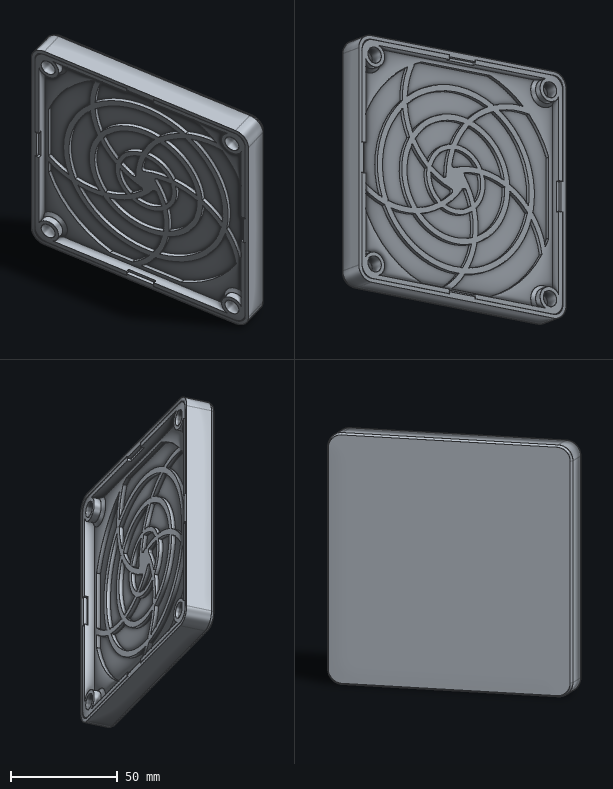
import cadquery as cq
import math

side = 120.0
depth = 14.3
corner_radius = 7.2
rim_width = 1.9
chamfer_across = 0.8
chamfer_along = 1.5
front_y = -depth / 2
back_y = depth / 2

guard_side = side - 2 * rim_width
guard_corner_radius = 6.2
guard_recess = 0.1
wall = 2.3
rim_height = 5.2
grille_thickness = 2.0
guard_front_y = front_y + guard_recess
grille_front_y = guard_front_y + rim_height
grille_back_y = grille_front_y + grille_thickness
pocket_side = guard_side - 2 * wall

back_plate = 2.4
pad_back_y = back_y - back_plate

tab_count = 4
tab_length = 14.9
tab_reach = 1.0
notch_depth = 1.8
tab_depth = guard_recess + notch_depth

post_offset = 50.7
post_radius = 5.8
post_foot_radius = 7.4
post_foot_height = 1.5
post_hole_radius = 3.8

opening_side = 107.5
opening_radius = 57.2
rings = [(45.5, 3.0), (31.3, 3.0), (16.9, 2.5)]
spoke_count = 5
spoke_outer_radius = 41.4
spoke_width = 2.9
spoke_center_distance = 35.7
spoke_tilt = 16.9
spoke_overrun = 2.4
hub_radius = 4.2
hub_fillet = 1.1
hub_zone_half = 7.2


def at_y(y):
    """Workplane at the given Y whose extrusions run towards +Y."""
    return cq.Workplane(cq.Plane(origin=(0, y, 0), xDir=(1, 0, 0), normal=(0, 1, 0)))


def square_block(width, y_start, y_end):
    return at_y(y_start).rect(width, width).extrude(y_end - y_start)


def disc(radius, y_start, y_end, x=0.0, z=0.0):
    return at_y(y_start).center(x, -z).circle(radius).extrude(y_end - y_start)


def around_axis(shape, count):
    """Copies of a shape spread evenly around the Y axis."""
    step = 360.0 / count
    return [shape.rotate((0, 0, 0), (0, 1, 0), i * step) for i in range(count)]


def side_block(reach, y_start, y_end):
    """Block of the tab length at the middle of the +Z side, reaching inwards from the guard."""
    block = at_y(y_start).rect(tab_length, reach).extrude(y_end - y_start)
    return block.translate((0, 0, guard_side / 2 - reach / 2))


def make_housing():
    body = square_block(side, front_y, back_y).edges("|Y").fillet(corner_radius)
    body = body.faces(">Y").chamfer(chamfer_along, chamfer_across)
    cavity = square_block(guard_side, front_y, pad_back_y)
    cavity = cavity.edges("|Y").fillet(corner_radius - rim_width)
    body = body.cut(cavity)
    for tab in around_axis(side_block(tab_reach, front_y, front_y + tab_depth), tab_count):
        body = body.union(tab)
    return body


def make_spoke(y_start, y_end):
    """Curved rib: a ring far off the axis, cut down to the stretch that runs from the hub outwards."""
    ring = disc(spoke_outer_radius, y_start, y_end).cut(
        disc(spoke_outer_radius - spoke_width, y_start, y_end)
    )
    kept_size = 2 * spoke_outer_radius
    kept = square_block(kept_size, y_start, y_end).translate((spoke_overrun - kept_size / 2, 0, 0))
    spoke = ring.intersect(kept).translate((0, 0, spoke_center_distance))
    return spoke.rotate((0, 0, 0), (0, 1, 0), spoke_tilt)


def make_grille_openings():
    """The openings left between the rings, the spokes and the hub."""
    span = (grille_front_y, grille_back_y)
    openings = square_block(opening_side, *span).intersect(disc(opening_radius, *span))
    openings = openings.cut(disc(hub_radius, *span))
    for outer_radius, width in rings:
        openings = openings.cut(disc(outer_radius, *span).cut(disc(outer_radius - width, *span)))
    for spoke in around_axis(make_spoke(*span), spoke_count):
        openings = openings.cut(spoke)
    hub_zone = cq.selectors.BoxSelector(
        (-hub_zone_half, grille_front_y, -hub_zone_half),
        (hub_zone_half, grille_back_y, hub_zone_half),
    )
    return openings.edges("|Y").edges(hub_zone).fillet(hub_fillet)


def make_post(x, z):
    """Corner post with a conical foot and a block that joins it solidly to the guard corner."""
    foot_y = grille_front_y - post_foot_height
    stem = disc(post_radius, guard_front_y, grille_front_y, x, z)
    foot = at_y(foot_y).center(x, -z).circle(post_radius)
    foot = foot.workplane(offset=post_foot_height).circle(post_foot_radius).loft()
    block_side = guard_side / 2 - post_offset
    block = square_block(block_side, guard_front_y, grille_front_y)
    block_center = post_offset + block_side / 2
    block = block.translate((math.copysign(block_center, x), 0, math.copysign(block_center, z)))
    return stem.union(foot).union(block)


def make_guard():
    outline = square_block(guard_side, guard_front_y, grille_back_y)
    outline = outline.edges("|Y").fillet(guard_corner_radius)
    body = outline.cut(square_block(pocket_side, guard_front_y, grille_front_y))
    post_places = [(x, z) for x in (-post_offset, post_offset) for z in (-post_offset, post_offset)]
    for x, z in post_places:
        body = body.union(make_post(x, z).intersect(outline))
    for x, z in post_places:
        body = body.cut(disc(post_hole_radius, guard_front_y, grille_back_y, x, z))
    for notch in around_axis(side_block(wall, guard_front_y, guard_front_y + notch_depth), tab_count):
        body = body.cut(notch)
    return body.cut(make_grille_openings())


def make_filter_pad():
    pad = square_block(guard_side, grille_back_y, pad_back_y)
    return pad.edges("|Y").fillet(guard_corner_radius)


housing = make_housing()
guard = make_guard()
filter_pad = make_filter_pad()
result = cq.Compound.makeCompound(
    [housing.solids().val(), guard.solids().val(), filter_pad.solids().val()]
)